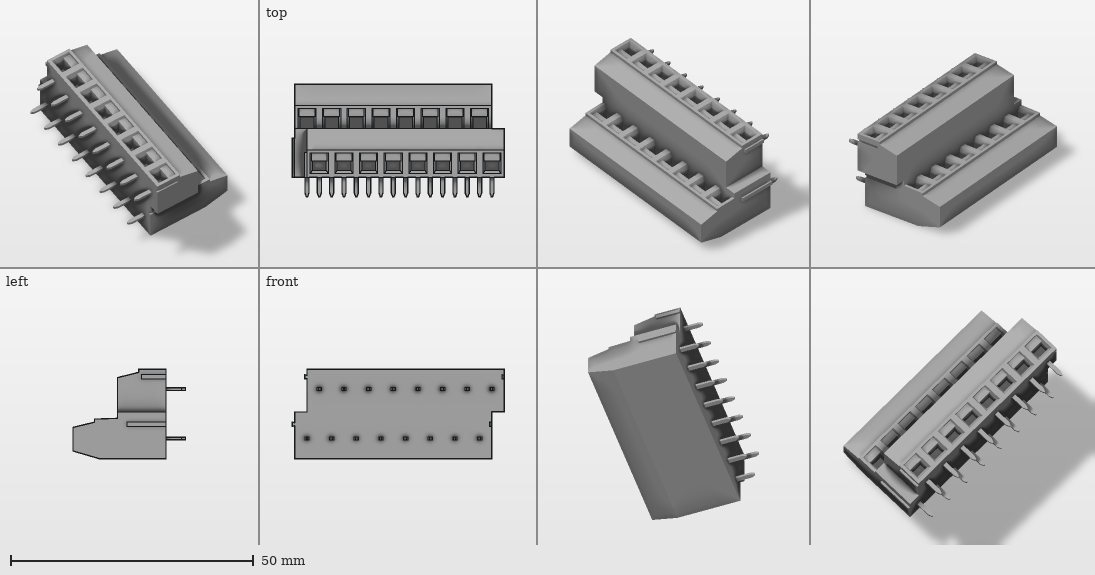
import cadquery as cq
import math

pole_count = 8
pitch = 5.08
tier_length = pole_count * pitch
tier_shift = pitch / 2
tier_bounds = ((0, tier_length), (tier_shift, tier_shift + tier_length))

upper_depth = 10.05
tier_setback = 9.15
lower_depth = upper_depth + tier_setback
ledge_z = 9.7
top_z = 18.5
lip_y = 5.65
lip_drop = 0.65
upper_back_z = 16.75
lower_lip_y = lip_y + tier_setback
lower_face_front_z = 8.38
lower_face_rear_z = 8.22
lower_back_z = 6.5
bottom_slope_y = 13.7
bottom_slope_z = 1.6

pocket_width = 3.75
pocket_front_y = 0.8
pocket_rear_y = 5.05
funnel_depth = 1.05
funnel_side_inset = 0.47
funnel_front_inset = 0.65
clamp_front_y = 3.4
clamp_recess = 0.55
pocket_depth = 4.0

pin_width = 0.9
pin_height = 0.6
pin_length = 4.0
pin_tip_length = 0.8
pin_tip_width = 0.3
pin_root = 0.5
lower_pin_z = 4.2
pin_row_spacing = 10.16

rails = ((8.1, 7.13), (5.1, 16.9))
rail_projection = 0.5
rail_head_height = 0.95
rail_neck_height = 0.65


def box_between(x0, x1, y0, y1, z0, z1):
    """Box from its two opposite corners."""
    return cq.Workplane("XY").box(x1 - x0, y1 - y0, z1 - z0, centered=False).translate((x0, y0, z0))


def extrude_profile(points, x_range):
    """Extrude a (Y, Z) outline along X."""
    x0, x1 = x_range
    return cq.Workplane("YZ").workplane(offset=x0).polyline(points).close().extrude(x1 - x0)


def pole_centers(x_range):
    return [x_range[0] + pitch * (i + 0.5) for i in range(pole_count)]


def pocket_cutter(front_inset):
    """Pocket centred on X = 0 below an entry plane at Z = 0; front_inset is the taper of its front wall."""
    half_top = pocket_width / 2
    half_shaft = half_top - funnel_side_inset
    shaft_front_y = pocket_front_y + front_inset
    mid_top = (pocket_front_y + pocket_rear_y) / 2
    mid_shaft = (shaft_front_y + pocket_rear_y) / 2
    funnel = (
        cq.Workplane("XY")
        .center(0, mid_top)
        .rect(pocket_width, pocket_rear_y - pocket_front_y)
        .workplane(offset=-funnel_depth)
        .center(0, mid_shaft - mid_top)
        .rect(2 * half_shaft, pocket_rear_y - shaft_front_y)
        .loft(ruled=True)
    )
    shaft = box_between(-half_shaft, half_shaft, shaft_front_y, pocket_rear_y, -pocket_depth, -funnel_depth)
    clamp = box_between(-half_top, half_top, clamp_front_y, pocket_rear_y, -pocket_depth, -clamp_recess)
    return funnel.union(shaft).cut(clamp)


def cut_pockets(body, cutter, x_range):
    for x in pole_centers(x_range):
        body = body.cut(cutter.translate((x, 0, 0)))
    return body


def lower_rear():
    """Rear part of the lower tier, its pockets square to the sloping top face and open up to the front."""
    outline = [
        (upper_depth, 0),
        (bottom_slope_y, 0),
        (lower_depth, bottom_slope_z),
        (lower_depth, lower_back_z),
        (lower_lip_y, lower_face_rear_z - lip_drop),
        (lower_lip_y, lower_face_rear_z),
        (upper_depth, lower_face_front_z),
    ]
    body = extrude_profile(outline, tier_bounds[0])
    fall = lower_face_front_z - lower_face_rear_z
    tilt = math.degrees(math.atan2(fall, lower_lip_y - upper_depth))
    cutter = (
        pocket_cutter(front_inset=0)
        .translate((0, -lip_y, 0))
        .rotate((0, 0, 0), (1, 0, 0), -tilt)
        .translate((0, lower_lip_y, lower_face_rear_z))
    )
    return cut_pockets(body, cutter, tier_bounds[0])


def lower_front():
    """Plain block under the upper tier."""
    x0, x1 = tier_bounds[0]
    return box_between(x0, x1, 0, upper_depth, 0, ledge_z)


def upper_tier():
    outline = [
        (0, ledge_z),
        (upper_depth, ledge_z),
        (upper_depth, upper_back_z),
        (lip_y, top_z - lip_drop),
        (lip_y, top_z),
        (0, top_z),
    ]
    body = extrude_profile(outline, tier_bounds[1])
    return cut_pockets(body, pocket_cutter(funnel_front_inset).translate((0, 0, top_z)), tier_bounds[1])


def dovetail_rail(length, z):
    """Dovetail bar pointing to -X from a wall at X = 0, running back from the pin face."""
    half_neck = rail_neck_height / 2
    half_head = rail_head_height / 2
    outline = [
        (0, z - half_neck),
        (0, z + half_neck),
        (-rail_projection, z + half_head),
        (-rail_projection, z - half_head),
    ]
    return cq.Workplane("XZ").polyline(outline).close().extrude(-length)


def pin(x, z):
    """Flat pin along -Y with a tip tapered in width."""
    half = pin_width / 2
    half_tip = pin_tip_width / 2
    shoulder_y = pin_tip_length - pin_length
    outline = [
        (-half, pin_root),
        (-half, shoulder_y),
        (-half_tip, -pin_length),
        (half_tip, -pin_length),
        (half, shoulder_y),
        (half, pin_root),
    ]
    blade = cq.Workplane("XY").polyline(outline).close().extrude(pin_height)
    return blade.translate((x, 0, z - pin_height / 2))


result = lower_rear().union(lower_front()).union(upper_tier())

for (left, right), (length, z) in zip(tier_bounds, rails):
    rail = dovetail_rail(length, z)
    result = result.union(rail.translate((left, 0, 0)))
    result = result.cut(rail.translate((right, 0, 0)))

for row, x_range in enumerate(tier_bounds):
    for x in pole_centers(x_range):
        result = result.union(pin(x, lower_pin_z + row * pin_row_spacing))